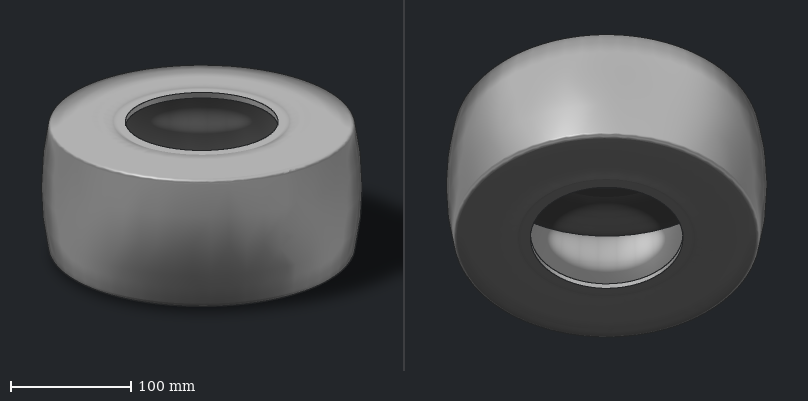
import cadquery as cq
import math

crown_radius = 133.6
overall_width = 122.91
wall_thickness = 5.0
shoulder_fillet = 5.0

tread_arc_radius = 258.0
tread_centre_r = crown_radius - tread_arc_radius

bore_radius = 63.5
bead_outer_radius = 73.5
bead_half_width = 57.8

sidewall_crest_r = 98.5
sidewall_crest_z = overall_width / 2
crest_rise = sidewall_crest_z - bead_half_width
crest_run = sidewall_crest_r - bead_outer_radius
sidewall_arc_radius = (crest_run**2 + crest_rise**2) / (2 * crest_rise)
sidewall_centre_z = sidewall_crest_z - sidewall_arc_radius


def shoulder_corner(inset):
    """Return (r, z) where the tread and sidewall arcs, both moved inward by inset, cross."""
    tread_radius = tread_arc_radius - inset
    sidewall_radius = sidewall_arc_radius - inset
    run = sidewall_crest_r - tread_centre_r
    distance = math.hypot(run, sidewall_centre_z)
    along = (tread_radius**2 - sidewall_radius**2 + distance**2) / (2 * distance)
    across = math.sqrt(tread_radius**2 - along**2)
    unit_r = run / distance
    unit_z = sidewall_centre_z / distance
    return (
        tread_centre_r + along * unit_r - across * unit_z,
        along * unit_z + across * unit_r,
    )


def tyre_body(inset):
    """Revolve the tyre outline, with tread, sidewalls and bead faces moved inward by inset."""
    corner_r, corner_z = shoulder_corner(inset)
    bead_z = bead_half_width - inset
    crest_z = sidewall_crest_z - inset
    sidewall_radius = sidewall_arc_radius - inset
    bead_edge_r = sidewall_crest_r - math.sqrt(sidewall_radius**2 - (bead_z - sidewall_centre_z)**2)
    outline = (
        cq.Workplane("XZ")
        .moveTo(bore_radius, -bead_z)
        .lineTo(bead_edge_r, -bead_z)
        .threePointArc((sidewall_crest_r, -crest_z), (corner_r, -corner_z))
        .threePointArc((crown_radius - inset, 0), (corner_r, corner_z))
        .threePointArc((sidewall_crest_r, crest_z), (bead_edge_r, bead_z))
        .lineTo(bore_radius, bead_z)
        .close()
    )
    return outline.revolve(360, (0, 0, 0), (0, 1, 0))


def round_shoulders(body):
    """Fillet the two circular edges between the tread and the sidewalls."""
    corner_r, corner_z = shoulder_corner(0)
    margin = 1.0
    reach = corner_r + margin
    for side in (-1, 1):
        edge_z = side * corner_z
        edge_box = cq.selectors.BoxSelector(
            (-reach, -reach, edge_z - margin),
            (reach, reach, edge_z + margin),
            boundingbox=True,
        )
        body = body.edges(edge_box).fillet(shoulder_fillet)
    return body


outer_body = round_shoulders(tyre_body(0))
cavity = tyre_body(wall_thickness)
result = outer_body.cut(cavity)